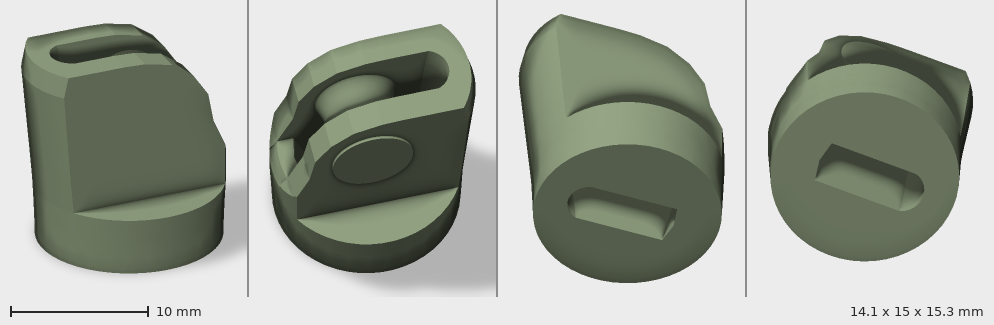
import cadquery as cq
import math

base_bottom_radius = 6.85
base_diameter = 14.05
base_radius = base_diameter / 2
base_height = 4.34

upright_width = 7.31
half_width = upright_width / 2
lean_start = 6.93
bevel_start = 13.77
total_height = 15.33
front_levels = [
    (base_height, -base_radius, base_radius),
    (lean_start, -7.27, base_radius),
    (bevel_start, -8.0, 6.02),
    (total_height, -7.68, 5.92),
]

rim_height = 5.87
cheek_crest = [
    (-1.92, total_height),
    (-0.32, 15.25),
    (1.8, 14.78),
    (3.5, 13.57),
    (4.66, 11.87),
    (5.09, 9.61),
    (6.29, lean_start),
    (base_radius, rim_height),
]

web_break_radius = 6.78
web_break_height = 6.35
web_top_radius = 6.47

front_clearance = 9.2

slot_width = 3.23
half_slot = slot_width / 2
slot_front_sagitta = 1.12
slot_peak = 0.3
open_rear = 9.2
lower_slot_levels = [
    (0.0, -4.52, 3.55),
    (base_height, -4.94, 4.43),
    (lean_start, -5.15, 5.37),
]
upper_slot_levels = [
    (lean_start, -5.15, open_rear),
    (bevel_start, -5.89, open_rear),
    (total_height, -6.15, open_rear),
]

pin_radius = 2.99
pin_protrusion = 0.21
roller_end_radius = 3.05
roller_waist_radius = 2.67
pin_y = 0.4
pin_z = 10.79


def upright_section(height, front_y, front_radius):
    """Strip across the base with round front and rear ends."""
    front_corner = front_y + front_radius - math.sqrt(front_radius**2 - half_width**2)
    rear_corner = math.sqrt(base_radius**2 - half_width**2)
    return (
        cq.Workplane("XY", origin=(0, 0, height))
        .moveTo(-half_width, front_corner)
        .threePointArc((0, front_y), (half_width, front_corner))
        .lineTo(half_width, rear_corner)
        .threePointArc((0, base_radius), (-half_width, rear_corner))
        .close()
        .val()
    )


def slot_section(height, front_y, rear_y):
    """Slot outline with a round front and a shallow pointed rear."""
    front_corner = front_y + slot_front_sagitta
    rear_corner = rear_y - slot_peak
    return (
        cq.Workplane("XY", origin=(0, 0, height))
        .moveTo(-half_slot, front_corner)
        .threePointArc((0, front_y), (half_slot, front_corner))
        .lineTo(half_slot, rear_corner)
        .lineTo(0, rear_y)
        .lineTo(-half_slot, rear_corner)
        .close()
        .val()
    )


def stack(section, levels):
    """Join the sections at successive levels with straight walls."""
    layers = cq.Workplane("XY")
    for lower, upper in zip(levels, levels[1:]):
        layer = cq.Solid.makeLoft([section(*lower), section(*upper)], True)
        layers = layers.add(layer)
    return layers.combine()


def make_base():
    return (
        cq.Workplane("XY")
        .circle(base_bottom_radius)
        .workplane(offset=base_height)
        .circle(base_radius)
        .loft()
    )


def make_upright():
    """Leaning upright trimmed at the rear to the crest of the cheeks."""
    front_limit = [(-front_clearance, 0), (-front_clearance, total_height)]
    side_outline = (
        cq.Workplane("YZ")
        .polyline(front_limit + cheek_crest + [(base_radius, 0)])
        .close()
        .extrude(half_width, both=True)
    )
    return stack(upright_section, front_levels).intersect(side_outline)


def make_rear_block():
    """Full-height block between the cheeks, behind the Z axis and above the base."""
    return (
        cq.Workplane("XY", origin=(0, open_rear / 2, base_height))
        .rect(slot_width, open_rear)
        .extrude(total_height - base_height)
    )


def make_web():
    """Low rear web with a two-step bevel turned about the Z axis."""
    web_profile = [
        (0, base_height),
        (base_radius, base_height),
        (base_radius, rim_height),
        (web_break_radius, web_break_height),
        (web_top_radius, lean_start),
        (0, lean_start),
    ]
    return cq.Workplane("XZ").polyline(web_profile).close().revolve().intersect(make_rear_block())


def make_pin():
    return (
        cq.Workplane("YZ", origin=(-half_width - pin_protrusion, pin_y, pin_z))
        .circle(pin_radius)
        .extrude(half_width + pin_protrusion - half_slot)
    )


def make_roller():
    return (
        cq.Workplane("XY", origin=(0, pin_y, pin_z))
        .moveTo(-half_slot, 0)
        .lineTo(-half_slot, roller_end_radius)
        .threePointArc((0, roller_waist_radius), (half_slot, roller_end_radius))
        .lineTo(half_slot, 0)
        .close()
        .revolve(360, (0, 0, 0), (1, 0, 0))
    )


upright = make_upright().cut(make_rear_block()).union(make_web())
body = make_base().union(upright)
body = body.cut(stack(slot_section, lower_slot_levels))
body = body.cut(stack(slot_section, upper_slot_levels))
result = body.union(make_pin()).union(make_roller())